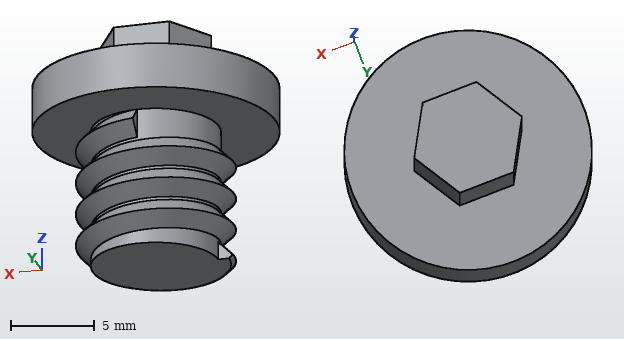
import math

import cadquery as cq

flange_diameter = 14.8
flange_thickness = 2.8

hex_across_flats = 6.0
hex_height = 3.0

shank_length = 8.6
shank_radius = 3.89

thread_pitch = 2.0
thread_depth = 0.9
thread_turns = 3.75
thread_start_z = 0.22
thread_start_angle = 180
thread_embed = 0.06


def make_head():
    """Flange with a hexagon on top, two of its corners lying along X."""
    hex_across_corners = hex_across_flats / math.cos(math.radians(30))
    flange = (
        cq.Workplane("XY", origin=(0, 0, shank_length))
        .circle(flange_diameter / 2)
        .extrude(flange_thickness)
    )
    return flange.faces(">Z").workplane().polygon(6, hex_across_corners).extrude(hex_height)


def make_shank():
    """Plain cylinder at the root of the thread."""
    return cq.Workplane("XY").circle(shank_radius).extrude(shank_length)


def make_thread():
    """Helical ridge of triangular section, cut flat at the bottom of the shank."""
    crest_radius = shank_radius + thread_depth
    inner_radius = shank_radius - thread_embed
    half_width = crest_radius - inner_radius

    path = cq.Wire.makeHelix(thread_pitch, thread_turns * thread_pitch, shank_radius)
    ridge = (
        cq.Workplane("XZ")
        .moveTo(inner_radius, -half_width)
        .lineTo(crest_radius, 0)
        .lineTo(inner_radius, half_width)
        .close()
        .sweep(cq.Workplane(path), isFrenet=True)
        .rotate((0, 0, 0), (0, 0, 1), thread_start_angle)
        .translate((0, 0, thread_start_z))
    )
    thread_space = cq.Workplane("XY").circle(flange_diameter / 2).extrude(shank_length + flange_thickness)
    return ridge.intersect(thread_space)


result = make_head().union(make_shank()).union(make_thread())